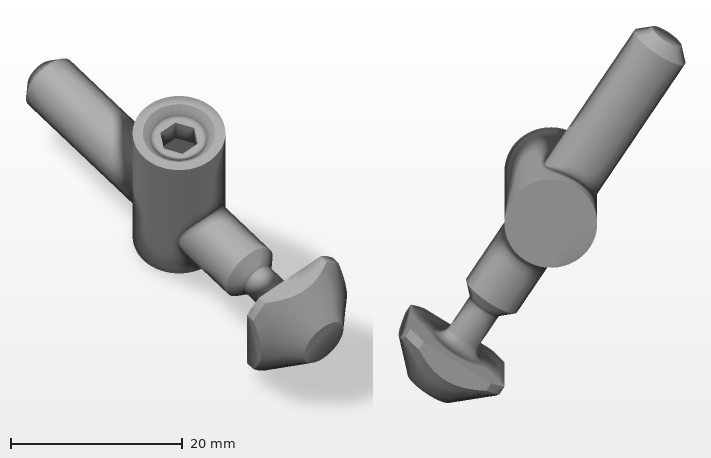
import cadquery as cq
import math


barrel_diameter = 10.8
barrel_height = 20.0
barrel_bottom = -6.0
barrel_top = barrel_bottom + barrel_height

countersink_diameter = 8.4
countersink_depth = 1.0
countersink_floor_diameter = countersink_diameter - 2 * countersink_depth
hex_across_flats = 4.0
hex_depth = 3.0

rod_diameter = 7.1
rod_chamfer = 1.5
rod_length = 39.1
neck_diameter = rod_diameter - 2 * rod_chamfer
neck_fillet = 1.4
head_diameter = 16.0
head_tip_diameter = 6.0
head_rim_thickness = 1.1
head_cone_length = (head_diameter - head_tip_diameter) / 2
head_width = 13.0

head_face = 20.0
head_rim_end = head_face + head_rim_thickness
head_tip = head_rim_end + head_cone_length
total_length = 51.0
rod_start = head_tip - total_length
neck_start = rod_start + rod_length


def make_rod():
    """Rod with both ends chamfered, running into a neck that flares onto the head face."""
    rod_radius = rod_diameter / 2
    neck_radius = neck_diameter / 2
    fillet_start = head_face - neck_fillet
    half_arc = math.radians(45)
    arc_middle = (
        fillet_start + neck_fillet * math.sin(half_arc),
        neck_radius + neck_fillet * (1 - math.cos(half_arc)),
    )
    profile = (
        cq.Workplane("XY")
        .moveTo(rod_start, 0)
        .lineTo(rod_start, rod_radius - rod_chamfer)
        .lineTo(rod_start + rod_chamfer, rod_radius)
        .lineTo(neck_start - rod_chamfer, rod_radius)
        .lineTo(neck_start, neck_radius)
        .lineTo(fillet_start, neck_radius)
        .threePointArc(arc_middle, (head_face, neck_radius + neck_fillet))
        .lineTo(head_rim_end, neck_radius + neck_fillet)
        .lineTo(head_rim_end, 0)
        .close()
    )
    return profile.revolve(360, (0, 0, 0), (1, 0, 0))


def make_head():
    """Disc with a 45 degree conical back, trimmed to a square with rounded corners."""
    disc = (
        cq.Workplane("XY")
        .moveTo(head_face, 0)
        .lineTo(head_face, head_diameter / 2)
        .lineTo(head_rim_end, head_diameter / 2)
        .lineTo(head_tip, head_tip_diameter / 2)
        .lineTo(head_tip, 0)
        .close()
        .revolve(360, (0, 0, 0), (1, 0, 0))
    )
    square = (
        cq.Workplane("YZ")
        .workplane(offset=head_face)
        .rect(head_width, head_width)
        .extrude(head_tip - head_face)
    )
    return disc.intersect(square)


def make_barrel():
    """Upright cylinder crossing the rod."""
    return (
        cq.Workplane("XY")
        .workplane(offset=barrel_bottom)
        .circle(barrel_diameter / 2)
        .extrude(barrel_height)
    )


def make_socket():
    """Conical countersink with a blind hexagon below it, corners pointing along Y."""
    floor_height = barrel_top - countersink_depth
    countersink = (
        cq.Workplane("XZ")
        .moveTo(0, floor_height)
        .lineTo(countersink_floor_diameter / 2, floor_height)
        .lineTo(countersink_diameter / 2, barrel_top)
        .lineTo(0, barrel_top)
        .close()
        .revolve(360, (0, 0, 0), (0, 1, 0))
    )
    hex_across_corners = hex_across_flats / math.cos(math.radians(30))
    hexagon = (
        cq.Workplane("XY")
        .workplane(offset=floor_height)
        .transformed(rotate=(0, 0, 90))
        .polygon(6, hex_across_corners)
        .extrude(-hex_depth)
    )
    return countersink.union(hexagon)


result = make_rod().union(make_head()).union(make_barrel()).cut(make_socket())